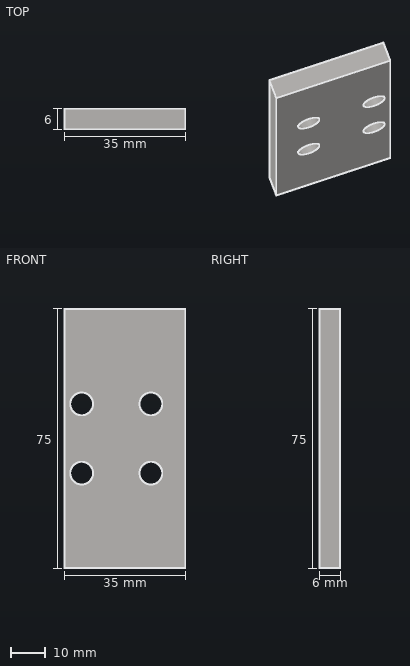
import cadquery as cq

width = 35.0
thickness = 6.0
height = 75.0

hole_diameter = 6.5
hole_spacing = 20.0
left_edge_to_hole = 5.0
pattern_center_x = -width / 2 + left_edge_to_hole + hole_spacing / 2

plate = cq.Workplane("XY").box(width, thickness, height)

result = (
    plate.faces("<Y")
    .workplane(origin=(pattern_center_x, 0, 0))
    .rarray(hole_spacing, hole_spacing, 2, 2)
    .hole(hole_diameter)
)